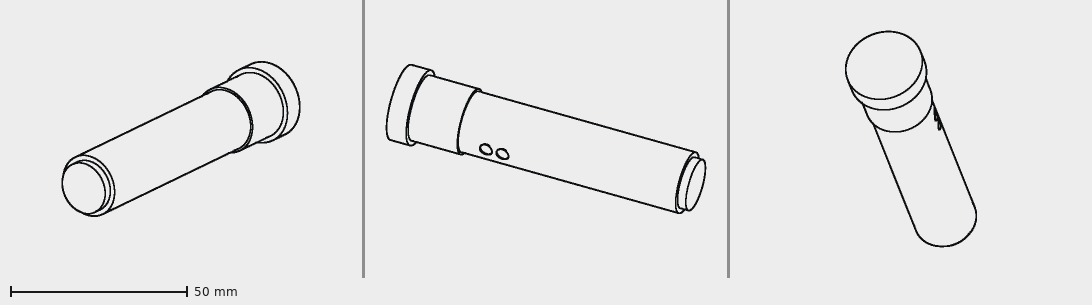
import cadquery as cq

total_length = 90.0

head_diameter = 22.2
head_length = 6.0
collar_diameter = 19.35
collar_length = 15.0
body_diameter = 18.0
tip_diameter = 15.0
tip_length = 2.5
body_length = total_length - head_length - collar_length - tip_length

recess_diameter = 3.8
recess_depth = 0.5
recess_pitch = 5.0
first_recess_from_head_end = 29.5
recess_count = 2


def stepped_pin():
    """Stack the round sections along +Y, from the tip to the head."""
    sections = [
        (tip_diameter, tip_length),
        (body_diameter, body_length),
        (collar_diameter, collar_length),
        (head_diameter, head_length),
    ]
    pin = cq.Workplane("XY")
    start = 0.0
    for diameter, length in sections:
        section = cq.Workplane("XZ", origin=(0, start, 0)).circle(diameter / 2).extrude(-length)
        pin = pin.union(section)
        start += length
    return pin


def recess_cutter(y):
    """Round cutter from the recess floor out past the -X side of the body."""
    floor_x = -(body_diameter / 2 - recess_depth)
    return (
        cq.Workplane("YZ", origin=(floor_x, y, 0))
        .circle(recess_diameter / 2)
        .extrude(-2 * recess_depth)
    )


result = stepped_pin()
for index in range(recess_count):
    recess_y = total_length - first_recess_from_head_end - index * recess_pitch
    result = result.cut(recess_cutter(recess_y))